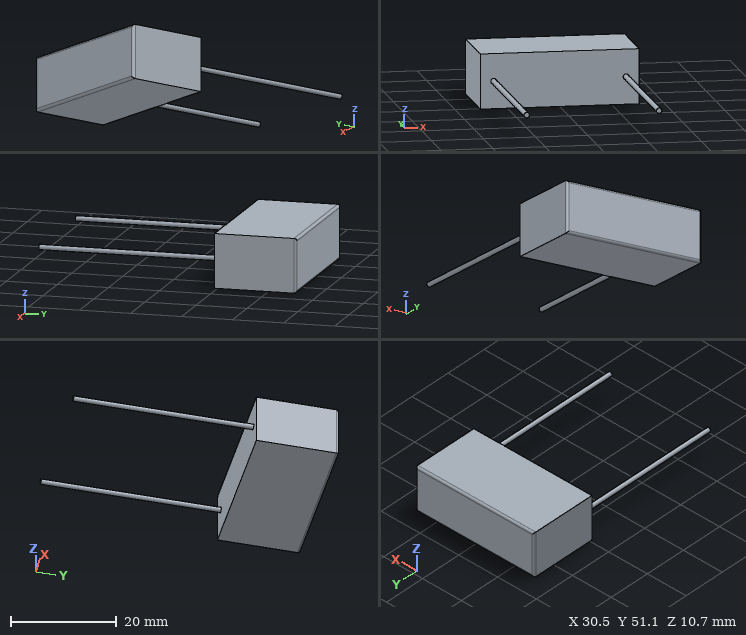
import cadquery as cq

case_width = 30.5
case_thickness = 10.65
overall_length = 51.1
case_height = 16.1
edge_radius = 0.5

lead_length = overall_length - case_height
lead_diameter = 1.05
lead_pitch = 25.4


def make_case():
    """Rectangular capacitor case, base face at Y = 0, rounded around the far end."""
    block = cq.Workplane("XY").box(
        case_width, case_height, case_thickness, centered=(True, False, True)
    )
    return block.faces(">Y").edges().fillet(edge_radius)


def make_lead(x):
    """Straight round wire that butts against the base face at Y = 0."""
    base_plane = cq.Workplane("XZ")
    return base_plane.center(x, 0).circle(lead_diameter / 2).extrude(lead_length)


case = make_case()
leads = [make_lead(side * lead_pitch / 2) for side in (-1, 1)]

result = cq.Compound.makeCompound([case.val(), *[lead.val() for lead in leads]])